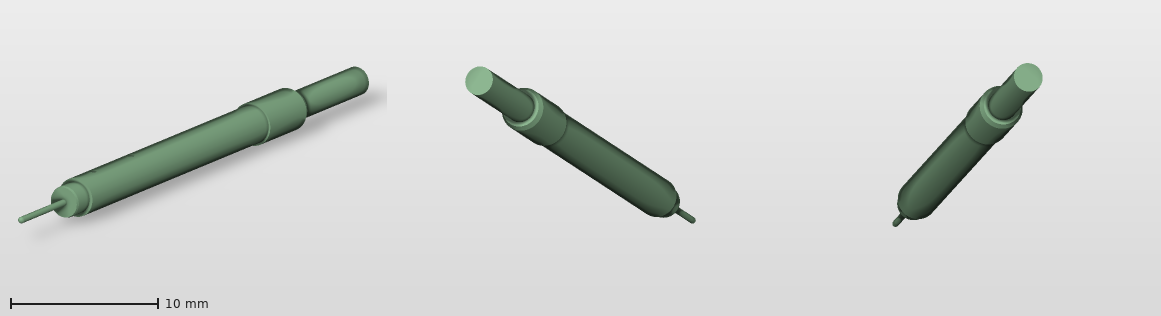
import cadquery as cq

total_length = 42.3

shank_diameter = 2.0
collar_diameter = 3.0
barrel_diameter = 2.7
nose_diameter = 2.2
needle_diameter = 0.45

shank_length = 8.2
collar_length = 4.95
barrel_length = 22.1
nose_length = 1.5
needle_length = total_length - shank_length - collar_length - barrel_length - nose_length

collar_chamfer_length = 0.4
collar_chamfer_inset = 0.2
nose_chamfer_length = 0.18
nose_chamfer_inset = 0.05
needle_tip_radius = 0.22

dimple_radius = 0.25
dimple_offsets = (2.15, 6.9)

collar_back = -shank_length
collar_front = collar_back - collar_length
barrel_front = collar_front - barrel_length
nose_front = barrel_front - nose_length


def cylinder(diameter, front, length):
    """Round section on the Y axis, from Y = front to Y = front + length."""
    return cq.Workplane("XZ", origin=(0, front, 0)).circle(diameter / 2).extrude(-length)


def make_shank():
    return cylinder(shank_diameter, collar_back, shank_length)


def make_collar():
    collar = cylinder(collar_diameter, collar_front, collar_length)
    return collar.faces(">Y").chamfer(collar_chamfer_length, collar_chamfer_inset)


def make_barrel():
    return cylinder(barrel_diameter, barrel_front, barrel_length)


def make_nose():
    nose = cylinder(nose_diameter, nose_front, nose_length)
    return nose.faces("<Y").chamfer(nose_chamfer_length, nose_chamfer_inset)


def make_needle():
    needle = cylinder(needle_diameter, -total_length, needle_length)
    return needle.faces("<Y").edges().fillet(needle_tip_radius)


def make_dimple(offset):
    """Spherical cutter centred on the top line of the barrel, at this distance from its front end."""
    center = (0, barrel_front + offset, barrel_diameter / 2)
    return cq.Workplane("XY").sphere(dimple_radius).translate(center)


result = make_shank()
for section in (make_collar(), make_barrel(), make_nose(), make_needle()):
    result = result.union(section)
for dimple_offset in dimple_offsets:
    result = result.cut(make_dimple(dimple_offset))